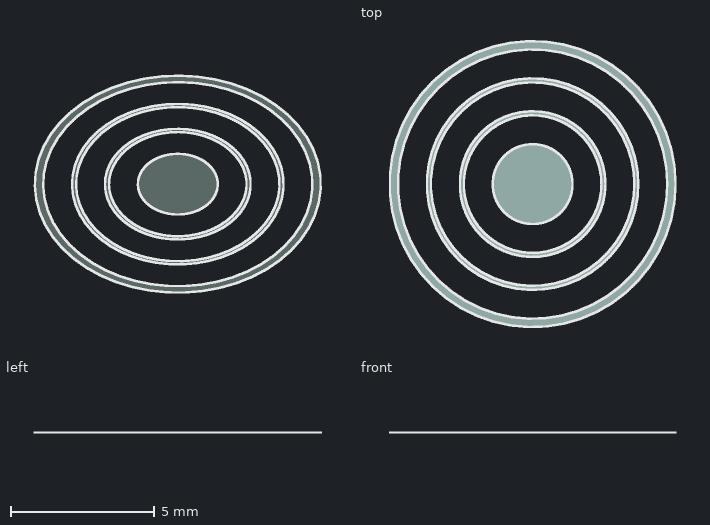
import cadquery as cq

thickness = 0.01
disc_diameter = 2.8

outer_ring_diameter = 10.0
outer_ring_width = 0.3

inner_ring_width = 0.15
inner_ring_diameters = [5.1, 7.4]


def make_disc():
    """Solid central disc, resting on the XY plane."""
    return cq.Workplane("XY").circle(disc_diameter / 2).extrude(thickness)


def make_ring(outer_diameter, width):
    """Flat ring of the given outer diameter and radial width."""
    outer_radius = outer_diameter / 2
    return (
        cq.Workplane("XY")
        .circle(outer_radius)
        .circle(outer_radius - width)
        .extrude(thickness)
    )


disc = make_disc()
inner_rings = [make_ring(diameter, inner_ring_width) for diameter in inner_ring_diameters]
outer_ring = make_ring(outer_ring_diameter, outer_ring_width)

result = cq.Compound.makeCompound(
    [disc.val(), *[ring.val() for ring in inner_rings], outer_ring.val()]
)